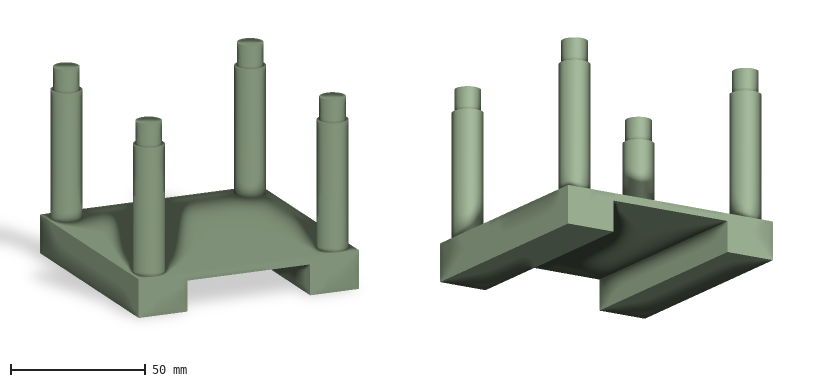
import cadquery as cq

side = 90.0
total_height = 74.0
base_height = 15.0
deck_thickness = 3.0
rail_width = 20.0
post_diameter = 12.0
pin_diameter = 10.0
pin_length = 9.0
post_inset = 7.5

channel_width = side - 2 * rail_width
channel_depth = base_height - deck_thickness
post_length = total_height - base_height - pin_length
post_spacing = side - 2 * post_inset


def make_base():
    """Square base with a channel running through its underside along X."""
    block = cq.Workplane("XY").box(side, side, base_height, centered=(True, True, False))
    channel = cq.Workplane("XY").box(
        side, channel_width, channel_depth, centered=(True, True, False)
    )
    return block.cut(channel)


def make_corner_cylinders(bottom, diameter, length):
    """Four upright cylinders, one near each corner of the base."""
    return (
        cq.Workplane("XY", origin=(0, 0, bottom))
        .rarray(post_spacing, post_spacing, 2, 2)
        .circle(diameter / 2)
        .extrude(length)
    )


posts = make_corner_cylinders(base_height, post_diameter, post_length)
pins = make_corner_cylinders(base_height + post_length, pin_diameter, pin_length)

result = make_base().union(posts).union(pins)